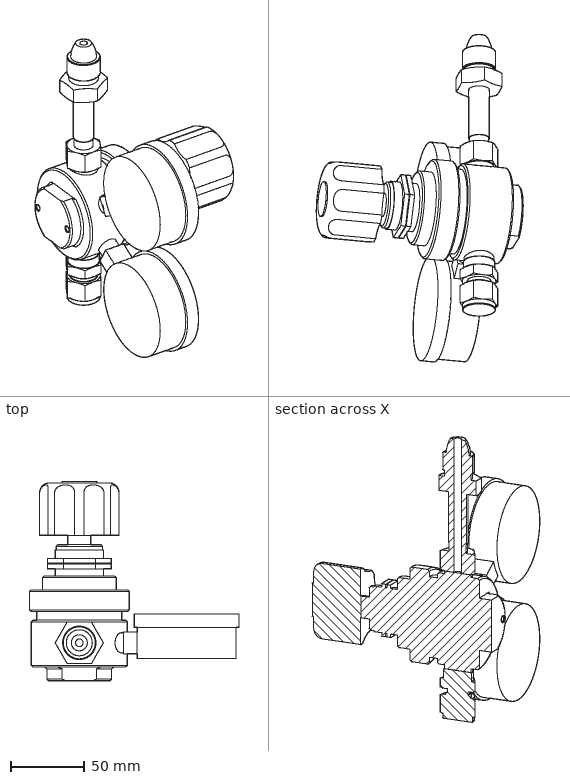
import cadquery as cq
import math


plug_front_y = -26.05
body_front_y = -16.6
body_back_y = 15.5
flange_front_y = 21.4
flange_back_y = 36.3
shoulder_back_y = 45.8
bonnet_thread_back_y = 63.7
bonnet_back_y = 67.3
knob_front_y = 73.6

body_radius = 33.0
neck_radius = 29.2
flange_radius = 34.25
shoulder_radius = 25.4
bonnet_radius = 16.6
bonnet_end_radius = 15.9
spindle_radius = 8.0
edge_chamfer = 1.2

plug_radius = 22.25
plug_base_radius = 23.9
plug_base_length = 1.2
plug_chamfer = 1.2
plug_flat_distance = 18.9
pin_hole_offset = 17.5
pin_hole_radius = 2.0
pin_hole_chamfer = 0.5
pin_hole_depth = 3.0
drill_point_angle = 118.0

fitting_boss_radius = 10.3
gauge_boss_radius = 6.9

panel_nut_flats = 38.0
panel_nut_front_y = 50.7
panel_nut_back_y = 57.8
panel_nut_gap = 0.5

knob_radius = 27.3
knob_back_y = 109.6
knob_edge_radius = 7.0
knob_flute_count = 8
knob_flute_angle = 31.7
knob_flute_depth = 2.7
knob_cap_radius = 12.0
knob_cap_back_y = 110.6

gauge_angle = 30.0
gauge_offset_x = 73.45
gauge_case_radius = 33.9
gauge_rim_radius = 36.0
gauge_front_y = -10.8
gauge_rim_front_y = 10.5
gauge_back_y = 19.8
gauge_block_width = 14.0
gauge_block_depth = 15.0
gauge_block_start = 38.8

fitting_flats = 23.0
hex_chamfer = 0.7

inlet_hex_bottom_z = 34.9
inlet_hex_top_z = 49.7
inlet_step_z = 56.0
inlet_nut_bottom_z = 92.0
inlet_nut_top_z = 103.0
inlet_thread_bottom_z = 107.0
inlet_thread_top_z = 120.3
inlet_top_z = 130.9
inlet_stub_radius = 6.6
inlet_tube_radius = 7.1
inlet_nut_flats = 28.6
inlet_relief_radius = 10.2
inlet_thread_radius = 11.45
inlet_nose_radius = 8.9
inlet_tip_radius = 5.5
inlet_bore_radius = 2.6
inlet_thread_chamfer = 0.5

outlet_collar_top_z = -35.8
outlet_hex_top_z = -42.0
outlet_hex_bottom_z = -49.9
outlet_cone_top_z = -52.2
outlet_cone_bottom_z = -53.3
outlet_nut_top_z = -53.9
outlet_nut_bottom_z = -68.0
outlet_end_z = -71.5
outlet_collar_radius = 10.8
outlet_shank_radius = 8.1
outlet_cone_radius = 9.6
outlet_end_radius = 11.45
outlet_end_chamfer = 0.5


def disc_y(radius, y_start, y_end):
    """Cylinder on the Y axis."""
    plane = cq.Workplane("XZ", origin=(0, y_start, 0))
    return plane.circle(radius).extrude(y_start - y_end)


def disc_z(radius, z_start, z_end):
    """Cylinder on the Z axis."""
    return cq.Workplane("XY", origin=(0, 0, z_start)).circle(radius).extrude(z_end - z_start)


def hex_z(flats, z_start, z_end, corner_angle):
    """Hexagon on the Z axis with bevelled corners at both ends; one corner points along corner_angle."""
    corner_radius = flats / math.sqrt(3)
    prism = (
        cq.Workplane("XY", origin=(0, 0, z_start))
        .polygon(6, 2 * corner_radius)
        .extrude(z_end - z_start)
        .rotate((0, 0, 0), (0, 0, 1), corner_angle)
    )
    blank = disc_z(corner_radius, z_start, z_end)
    bevel = blank.faces("<Z or >Z").chamfer(hex_chamfer, corner_radius - flats / 2)
    return prism.intersect(bevel)


def gauge_frame(side):
    """Workplane at the regulator centre whose normal runs out towards a gauge (side is +1 or -1)."""
    angle = math.radians(gauge_angle)
    direction = (math.cos(angle), 0, side * math.sin(angle))
    return cq.Workplane(cq.Plane(origin=(0, 0, 0), xDir=(0, 1, 0), normal=direction))


def make_plug():
    """Front plug with two side flats and a pair of chamfered, drilled pin holes."""
    outline = [
        (0, plug_front_y),
        (plug_radius - plug_chamfer, plug_front_y),
        (plug_radius, plug_front_y + plug_chamfer),
        (plug_radius, body_front_y - plug_base_length),
        (plug_base_radius, body_front_y),
        (0, body_front_y),
    ]
    plug = cq.Workplane("XY").polyline(outline).close().revolve(360, (0, 0, 0), (0, 1, 0))
    plug_length = body_front_y - plug_front_y
    flats = cq.Workplane("XY").box(2 * plug_base_radius, plug_length, 2 * plug_flat_distance)
    plug = plug.intersect(flats.translate((0, (plug_front_y + body_front_y) / 2, 0)))
    tip_y = plug_front_y + pin_hole_depth + pin_hole_radius / math.tan(math.radians(drill_point_angle / 2))
    hole_outline = [
        (0, plug_front_y),
        (pin_hole_radius + pin_hole_chamfer, plug_front_y),
        (pin_hole_radius, plug_front_y + pin_hole_chamfer),
        (pin_hole_radius, plug_front_y + pin_hole_depth),
        (0, tip_y),
    ]
    hole = cq.Workplane("XY").polyline(hole_outline).close().revolve(360, (0, 0, 0), (0, 1, 0))
    for x in (-pin_hole_offset, pin_hole_offset):
        plug = plug.cut(hole.translate((x, 0, 0)))
    return plug


def make_panel_nuts():
    nut_length = (panel_nut_back_y - panel_nut_front_y - panel_nut_gap) / 2
    nuts = cq.Workplane("XZ")
    for front_y in (panel_nut_front_y, panel_nut_back_y - nut_length):
        plane = cq.Workplane("XZ", origin=(0, front_y, 0))
        nuts = nuts.union(plane.polygon(6, 2 * panel_nut_flats / math.sqrt(3)).extrude(-nut_length))
    return nuts


def make_regulator():
    body = disc_y(body_radius, body_front_y, body_back_y).faces("<Y or >Y").chamfer(edge_chamfer)
    flange = disc_y(flange_radius, flange_front_y, flange_back_y).faces("<Y or >Y").chamfer(edge_chamfer)
    shoulder = disc_y(shoulder_radius, flange_back_y, shoulder_back_y).faces(">Y").chamfer(edge_chamfer)
    bonnet_end = disc_y(bonnet_end_radius, bonnet_thread_back_y, bonnet_back_y).faces(">Y").chamfer(edge_chamfer)
    regulator = (
        body.union(make_plug())
        .union(disc_y(neck_radius, body_back_y, flange_front_y))
        .union(flange)
        .union(shoulder)
        .union(disc_y(bonnet_radius, shoulder_back_y, bonnet_thread_back_y))
        .union(bonnet_end)
        .union(make_panel_nuts())
        .union(disc_y(spindle_radius, bonnet_back_y, knob_front_y))
        .union(disc_z(fitting_boss_radius, outlet_collar_top_z, inlet_hex_bottom_z))
    )
    for side in (1, -1):
        gauge_boss = gauge_frame(side).circle(gauge_boss_radius).extrude(gauge_block_start)
        regulator = regulator.union(gauge_boss)
    return regulator


def make_knob():
    knob = disc_y(knob_radius, knob_front_y, knob_back_y).faces(">Y").edges().fillet(knob_edge_radius)
    half_angle = math.radians(knob_flute_angle / 2)
    half_chord = knob_radius * math.sin(half_angle)
    sagitta = knob_radius * math.cos(half_angle) - (knob_radius - knob_flute_depth)
    flute_radius = (half_chord**2 + sagitta**2) / (2 * sagitta)
    flute_centre = knob_radius - knob_flute_depth + flute_radius
    flute = disc_y(flute_radius, knob_front_y, knob_back_y).translate((flute_centre, 0, 0))
    pitch = 360 / knob_flute_count
    for i in range(knob_flute_count):
        knob = knob.cut(flute.rotate((0, 0, 0), (0, 1, 0), (i + 0.5) * pitch))
    return knob.union(disc_y(knob_cap_radius, knob_back_y, knob_cap_back_y))


def make_gauge(side):
    """Gauge with its mounting block; side is +1 for the upper one, -1 for the lower one."""
    centre = (gauge_offset_x, 0, side * gauge_offset_x * math.tan(math.radians(gauge_angle)))
    gauge_distance = gauge_offset_x / math.cos(math.radians(gauge_angle))
    case = disc_y(gauge_case_radius, gauge_front_y, gauge_rim_front_y)
    rim = disc_y(gauge_rim_radius, gauge_rim_front_y, gauge_back_y)
    block = gauge_frame(side).workplane(offset=gauge_block_start).rect(gauge_block_depth, gauge_block_width)
    return (
        case.union(rim)
        .translate(centre)
        .union(block.extrude(gauge_distance - gauge_block_start))
    )


def make_nose():
    """Domed tip that starts square to the thread end and narrows to a flat ring."""
    length = inlet_top_z - inlet_thread_top_z
    inset = inlet_nose_radius - inlet_tip_radius
    dome_radius = (length**2 + inset**2) / (2 * inset)
    half_sweep = math.asin(length / dome_radius) / 2
    arc_middle = (
        inlet_nose_radius - dome_radius * (1 - math.cos(half_sweep)),
        inlet_thread_top_z + dome_radius * math.sin(half_sweep),
    )
    return (
        cq.Workplane("XZ")
        .moveTo(0, inlet_thread_top_z)
        .lineTo(inlet_nose_radius, inlet_thread_top_z)
        .threePointArc(arc_middle, (inlet_tip_radius, inlet_top_z))
        .lineTo(0, inlet_top_z)
        .close()
        .revolve(360, (0, 0, 0), (0, 1, 0))
    )


def make_inlet():
    thread = disc_z(inlet_thread_radius, inlet_thread_bottom_z, inlet_thread_top_z)
    thread = thread.faces("<Z or >Z").chamfer(inlet_thread_chamfer)
    return (
        hex_z(fitting_flats, inlet_hex_bottom_z, inlet_hex_top_z, 90)
        .union(disc_z(inlet_stub_radius, inlet_hex_top_z, inlet_step_z))
        .union(disc_z(inlet_tube_radius, inlet_step_z, inlet_nut_bottom_z))
        .union(hex_z(inlet_nut_flats, inlet_nut_bottom_z, inlet_nut_top_z, 0))
        .union(disc_z(inlet_relief_radius, inlet_nut_top_z, inlet_thread_bottom_z))
        .union(thread)
        .union(make_nose())
        .cut(disc_z(inlet_bore_radius, inlet_hex_bottom_z, inlet_top_z))
    )


def make_outlet():
    shank_outline = [
        (0, outlet_hex_bottom_z),
        (outlet_shank_radius, outlet_hex_bottom_z),
        (outlet_shank_radius, outlet_cone_top_z),
        (outlet_cone_radius, outlet_cone_bottom_z),
        (outlet_cone_radius, outlet_nut_top_z),
        (0, outlet_nut_top_z),
    ]
    shank = cq.Workplane("XZ").polyline(shank_outline).close().revolve(360, (0, 0, 0), (0, 1, 0))
    end = disc_z(outlet_end_radius, outlet_nut_bottom_z, outlet_end_z).faces("<Z").chamfer(outlet_end_chamfer)
    return (
        disc_z(outlet_collar_radius, outlet_collar_top_z, outlet_hex_top_z)
        .union(hex_z(fitting_flats, outlet_hex_bottom_z, outlet_hex_top_z, 90))
        .union(shank)
        .union(hex_z(fitting_flats, outlet_nut_bottom_z, outlet_nut_top_z, 90))
        .union(end)
    )


regulator = make_regulator()
knob = make_knob()
gauges = [make_gauge(side) for side in (1, -1)]
inlet = make_inlet()
outlet = make_outlet()

result = cq.Compound.makeCompound(
    [regulator.val(), knob.val(), *[gauge.val() for gauge in gauges], inlet.val(), outlet.val()]
)